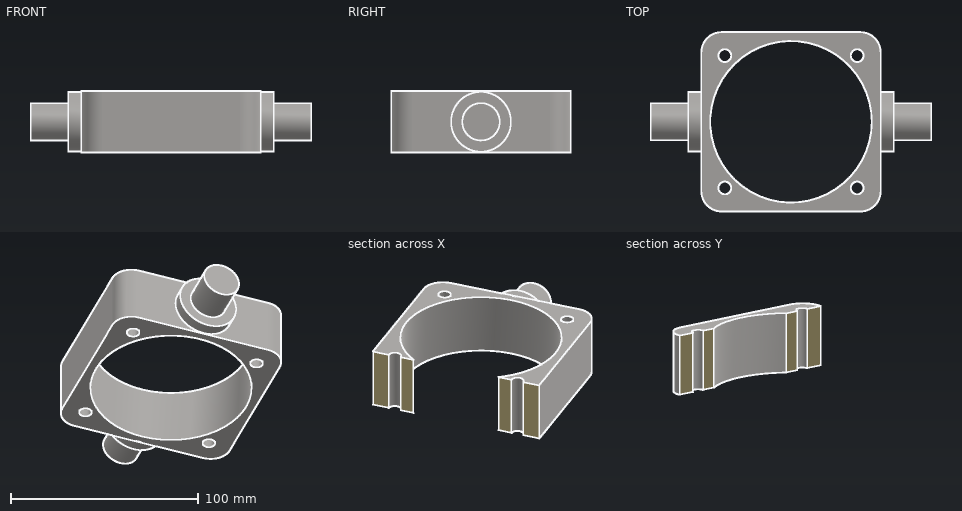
import cadquery as cq
import math

body_width = 96.0
body_height = 33.0
corner_radius = 11.0
bore_diameter = 86.2

bolt_circle_diameter = 100.0
bolt_hole_diameter = 6.7
bolt_hole_spacing = bolt_circle_diameter / math.sqrt(2)

overall_length = 150.0
collar_span = 110.0
collar_diameter = 32.0
pin_diameter = 20.0


def make_body():
    """Rounded square block centred on the origin."""
    block = cq.Workplane("XY").box(body_width, body_width, body_height)
    return block.edges("|Z").fillet(corner_radius)


def make_cross_shaft(diameter, length):
    """Cylinder along X, centred on the origin."""
    return cq.Workplane("YZ").circle(diameter / 2).extrude(length / 2, both=True)


def cut_bore(part):
    """Open the large central bore, which also clears the shafts inside it."""
    return part.faces(">Z").workplane(origin=(0, 0, 0)).circle(bore_diameter / 2).cutThruAll()


def cut_bolt_holes(part):
    """Drill one through hole in each corner."""
    corners = part.faces(">Z").workplane(origin=(0, 0, 0))
    corners = corners.rect(bolt_hole_spacing, bolt_hole_spacing, forConstruction=True).vertices()
    return corners.hole(bolt_hole_diameter)


collars = make_cross_shaft(collar_diameter, collar_span)
pins = make_cross_shaft(pin_diameter, overall_length)

result = make_body().union(collars).union(pins)
result = cut_bore(result)
result = cut_bolt_holes(result)